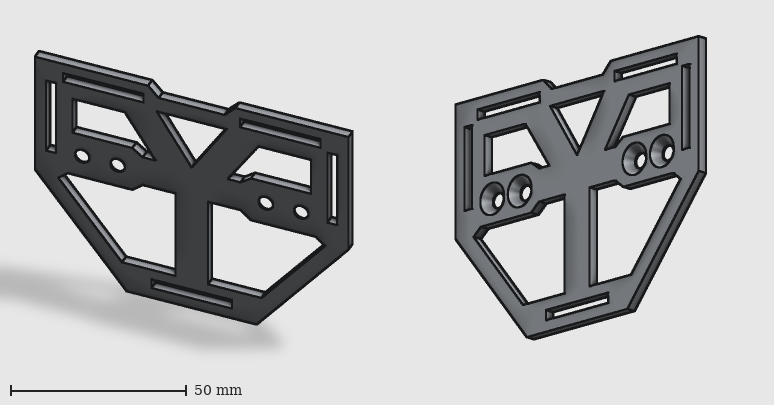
import cadquery as cq

width = 97.0
height = 75.0
thickness = 3.0
half_width = width / 2

bottom_half_width = 20.1
shoulder_z = 35.0
notch_depth = 3.4
notch_top_half_width = 13.5
notch_floor_half_width = 10.2

slot_length = 24.8
slot_width = 3.0
top_slot_x = 27.4
top_slot_z = 70.1
side_slot_x = 43.5
side_slot_z = 55.1
bottom_slot_z = 4.9

hole_diameter = 4.5
hole_land = 0.5
countersink_depth = thickness - hole_land
countersink_diameter = hole_diameter + 2 * countersink_depth
hole_z = 43.9
hole_inner_x = 22.9
hole_spacing = 11.0

triangle_half_width = 10.8
triangle_top_z = 66.6
triangle_apex_z = 49.9

step_inner_x = 15.1
step_outer_x = 18.3

upper_outer_x = 36.9
upper_top_inner_x = 20.7
upper_bottom_inner_x = 11.2
upper_top_z = 63.4
upper_step_z = 51.4
upper_bottom_z = 49.1

spine_half_width = 5.0
lower_top_z = 39.2
lower_step_z = 36.6
lower_corner_x = 38.3
lower_outer_x = 41.2
lower_outer_z = 34.1
lower_bottom_outer_x = 21.5
lower_bottom_z = 9.9


def prism(points):
    """Extrude an XZ outline through the plate thickness, centred on Y = 0."""
    return cq.Workplane("XZ").polyline(points).close().extrude(thickness / 2, both=True)


def mirrored(points):
    """Reflect outline points across X = 0, reversing their order."""
    return [(-x, z) for x, z in reversed(points)]


def slot(x, z, size_x, size_z):
    return cq.Workplane("XY").box(size_x, thickness, size_z).translate((x, 0, z))


def countersunk_hole(x):
    """Straight hole from the -Y face, flaring to the countersink at the +Y face."""
    front_face = cq.Workplane("XZ", origin=(x, -thickness / 2, hole_z))
    bore = front_face.circle(hole_diameter / 2).extrude(-thickness)
    back_face = cq.Workplane("XZ", origin=(x, thickness / 2, hole_z))
    flare = (
        back_face.circle(countersink_diameter / 2)
        .workplane(offset=countersink_depth)
        .circle(hole_diameter / 2)
        .loft()
    )
    return bore.union(flare)


right_outline = [
    (bottom_half_width, 0),
    (half_width, shoulder_z),
    (half_width, height),
    (notch_top_half_width, height),
    (notch_floor_half_width, height - notch_depth),
]
upper_window = [
    (upper_outer_x, upper_top_z),
    (upper_top_inner_x, upper_top_z),
    (upper_bottom_inner_x, upper_bottom_z),
    (step_inner_x, upper_bottom_z),
    (step_outer_x, upper_step_z),
    (upper_outer_x, upper_step_z),
]
lower_window = [
    (spine_half_width, lower_top_z),
    (step_inner_x, lower_top_z),
    (step_outer_x, lower_step_z),
    (lower_corner_x, lower_step_z),
    (lower_outer_x, lower_outer_z),
    (lower_bottom_outer_x, lower_bottom_z),
    (spine_half_width, lower_bottom_z),
]
triangle = [
    (-triangle_half_width, triangle_top_z),
    (triangle_half_width, triangle_top_z),
    (0, triangle_apex_z),
]

plate = prism(right_outline + mirrored(right_outline))

plate = plate.cut(prism(triangle))
plate = plate.cut(slot(0, bottom_slot_z, slot_length, slot_width))

for window in (upper_window, lower_window):
    plate = plate.cut(prism(window)).cut(prism(mirrored(window)))

for side in (-1, 1):
    plate = plate.cut(slot(side * top_slot_x, top_slot_z, slot_length, slot_width))
    plate = plate.cut(slot(side * side_slot_x, side_slot_z, slot_width, slot_length))
    for hole_x in (hole_inner_x, hole_inner_x + hole_spacing):
        plate = plate.cut(countersunk_hole(side * hole_x))

result = plate